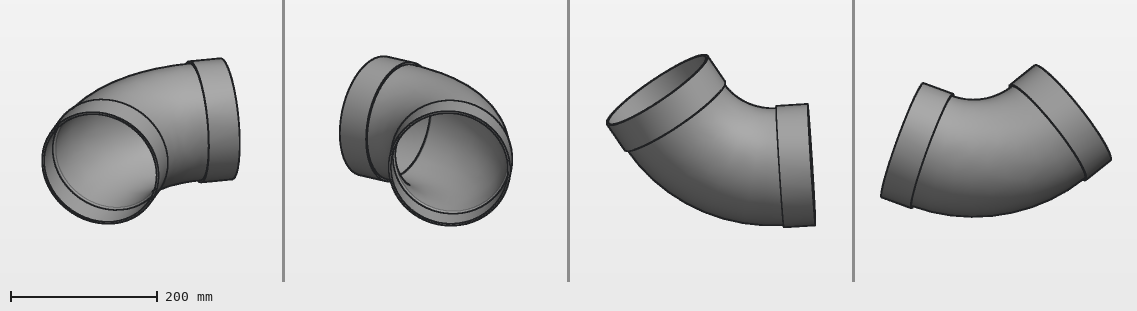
import cadquery as cq
import math

bend_angle = 60
bend_radius = 159.7
wall = 3.0
socket_length = 43.2
socket_outer_d = 166.0
pipe_outer_d = socket_outer_d - 2 * wall
pipe_inner_d = pipe_outer_d - 2 * wall
socket_inner_d = pipe_outer_d

shoulder_radius = (socket_inner_d - pipe_inner_d) / 2


def bend(diameter):
    """Solid torus segment starting at the origin along +Y and turning towards +X."""
    return (
        cq.Workplane("XZ")
        .circle(diameter / 2)
        .revolve(bend_angle, (bend_radius, 0), (bend_radius, -1))
    )


def at_both_ends(inlet):
    """Add the matching outlet body to a body at the inlet (start) of the bend."""
    bend_center = (bend_radius, 0, 0)
    bend_center_above = (bend_radius, 0, 1)
    outlet = inlet.mirror("XZ").rotate(bend_center, bend_center_above, -bend_angle)
    return inlet.union(outlet)


def socket_body():
    return cq.Workplane("XZ").circle(socket_outer_d / 2).extrude(socket_length)


def socket_cavity():
    """Pipe seat whose floor rounds over into the bore at the start of the bend."""
    seat_r = socket_inner_d / 2
    bore_r = pipe_inner_d / 2
    arc_offset = shoulder_radius * math.sqrt(0.5)
    return (
        cq.Workplane("XY")
        .moveTo(0, -socket_length)
        .lineTo(seat_r, -socket_length)
        .lineTo(seat_r, -shoulder_radius)
        .threePointArc((seat_r - arc_offset, -arc_offset), (bore_r, 0))
        .lineTo(0, 0)
        .close()
        .revolve(360, (0, 0), (0, 1))
    )


outside = bend(pipe_outer_d).union(at_both_ends(socket_body()))
inside = bend(pipe_inner_d).union(at_both_ends(socket_cavity()))
result = outside.cut(inside)